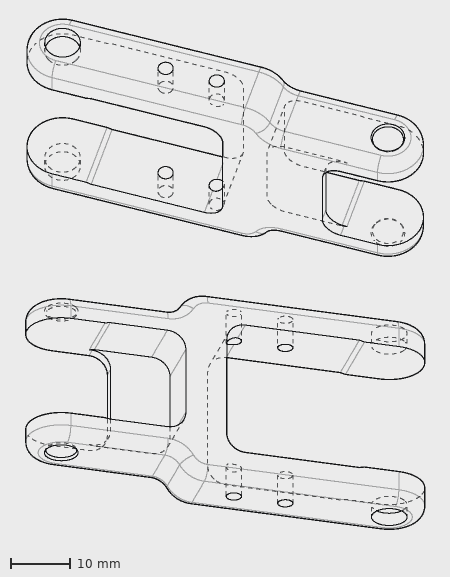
import cadquery as cq
import math

pivot_distance = 57.2
heading = 49.4
end_radius = 6.0
edge_fillet = 2.1

wide_half_height = 17.5
wide_slot_half = 12.15
wide_pad_half = 11.9
wide_pad_end = 6.0
wide_floor = 30.0

shoulder_start = 33.3
crest_radius = 5.0
hollow_radius = 3.0
shoulder_angle = math.radians(60)
shoulder_drop = (crest_radius + hollow_radius) * (1 - math.cos(shoulder_angle))
narrow_half_height = wide_half_height - shoulder_drop
narrow_slot_half = 9.2
narrow_pad_half = 9.05
narrow_pad_end = 51.2
narrow_floor = 37.15

stop_end = 47.5
stop_thickness = 2.05

slot_fillet = 3.2
pad_ramp = 0.9

pin_hole_diameter = 2.55
pin_hole_positions = (18.1, 27.1)
wide_recess_diameter = 6.0
wide_recess_depth = 2.3
narrow_recess_diameter = 5.65
narrow_recess_floor = 5.2
narrow_recess_depth = 0.5

wide_tip = -end_radius
narrow_tip = pivot_distance + end_radius
width = 2 * end_radius


def outer_body():
    """Rounded bar whose top and bottom step down through an S-shaped shoulder."""
    def arc_step(radius, angle):
        """Run and drop along an arc that starts level and turns through angle."""
        return radius * math.sin(angle), radius * (1 - math.cos(angle))

    crest_run, crest_drop = arc_step(crest_radius, shoulder_angle)
    crest_mid_run, crest_mid_drop = arc_step(crest_radius, shoulder_angle / 2)
    hollow_run, _ = arc_step(hollow_radius, shoulder_angle)
    hollow_mid_run, hollow_mid_drop = arc_step(hollow_radius, shoulder_angle / 2)
    shoulder_end = shoulder_start + crest_run + hollow_run

    upper_half = (
        cq.Workplane("XZ")
        .moveTo(wide_tip, 0)
        .lineTo(wide_tip, wide_half_height)
        .lineTo(shoulder_start, wide_half_height)
        .threePointArc(
            (shoulder_start + crest_mid_run, wide_half_height - crest_mid_drop),
            (shoulder_start + crest_run, wide_half_height - crest_drop),
        )
        .threePointArc(
            (shoulder_end - hollow_mid_run, narrow_half_height + hollow_mid_drop),
            (shoulder_end, narrow_half_height),
        )
        .lineTo(narrow_tip, narrow_half_height)
        .lineTo(narrow_tip, 0)
        .close()
        .extrude(end_radius, both=True)
    )
    plan = (
        cq.Workplane("XY")
        .center(pivot_distance / 2, 0)
        .slot2D(pivot_distance + width, width)
        .extrude(wide_half_height)
    )
    upper_half = upper_half.intersect(plan)
    rim = upper_half.edges("(not |Z) and (not |Y) and (not <Z)")
    upper_half = rim.fillet(edge_fillet)
    return upper_half.union(upper_half.mirror("XY"))


def slot_cutter(floor, slot_half, pad_half, pad_end, tip):
    """Slot open toward tip, with rounded floor corners and a tighter gap at the pads."""
    toward_tip = math.copysign(1, tip - floor)
    ramp_end = pad_end - toward_tip * pad_ramp
    slot = (
        cq.Workplane("XZ")
        .moveTo(floor, -slot_half)
        .lineTo(ramp_end, -slot_half)
        .lineTo(pad_end, -pad_half)
        .lineTo(tip, -pad_half)
        .lineTo(tip, pad_half)
        .lineTo(pad_end, pad_half)
        .lineTo(ramp_end, slot_half)
        .lineTo(floor, slot_half)
        .close()
        .extrude(end_radius, both=True)
    )
    floor_side = "<X" if toward_tip > 0 else ">X"
    return slot.faces(floor_side).edges("|Y").fillet(slot_fillet)


def narrow_slot_cutter():
    """Deep slot over most of the width, and a shallow one over the stop wall."""
    deep = slot_cutter(
        narrow_floor, narrow_slot_half, narrow_pad_half, narrow_pad_end, narrow_tip
    ).translate((0, stop_thickness, 0))
    shallow = (
        cq.Workplane("XY")
        .box(narrow_tip - stop_end, width, 2 * narrow_pad_half)
        .edges("|Y and <X")
        .fillet(slot_fillet)
        .translate(((narrow_tip + stop_end) / 2, 0, 0))
    )
    return deep, shallow


def recess_cutters(position, diameter, floor_diameter, depth, half_height):
    """Matching round pockets, straight or tapered, in the top and bottom faces."""
    top = (
        cq.Workplane("XY", origin=(position, 0, half_height - depth))
        .circle(floor_diameter / 2)
        .workplane(offset=depth)
        .circle(diameter / 2)
        .loft()
    )
    return top, top.mirror("XY")


wide_recesses = recess_cutters(
    0, wide_recess_diameter, wide_recess_diameter, wide_recess_depth, wide_half_height
)
narrow_recesses = recess_cutters(
    pivot_distance,
    narrow_recess_diameter,
    narrow_recess_floor,
    narrow_recess_depth,
    narrow_half_height,
)
pin_holes = (
    cq.Workplane("XY")
    .pushPoints([(position, 0) for position in pin_hole_positions])
    .circle(pin_hole_diameter / 2)
    .extrude(wide_half_height, both=True)
)

link = outer_body()
link = link.cut(slot_cutter(wide_floor, wide_slot_half, wide_pad_half, wide_pad_end, wide_tip))
for cutter in (*narrow_slot_cutter(), *wide_recesses, *narrow_recesses, pin_holes):
    link = link.cut(cutter)

result = link.translate((-pivot_distance / 2, 0, 0)).rotate((0, 0, 0), (0, 0, 1), heading)